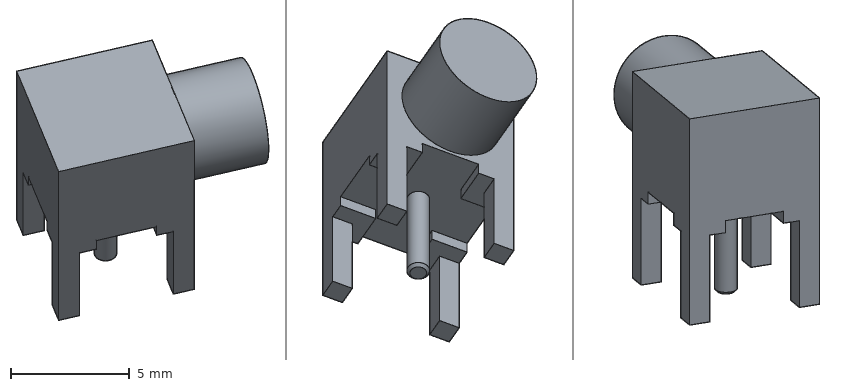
import cadquery as cq

body_side = 5.99
total_height = 9.35
leg_side = 0.93
leg_height = 3.93

pad_side = 1.66
pad_height = 0.54
body_bottom = leg_height + pad_height

overall_length = 9.5
barrel_diameter = 4.6
barrel_axis_drop = 2.41
barrel_length = overall_length - body_side

pin_diameter = 0.97
pin_chamfer = 0.13


def make_housing():
    return (
        cq.Workplane("XY")
        .workplane(offset=body_bottom)
        .rect(body_side, body_side)
        .extrude(total_height - body_bottom)
    )


def make_corner_posts(side, height):
    """Four square posts flush with the housing's corners, rising from Z = 0."""
    spacing = body_side - side
    return (
        cq.Workplane("XY")
        .rect(spacing, spacing, forConstruction=True)
        .vertices()
        .rect(side, side)
        .extrude(height)
    )


def make_pads():
    return make_corner_posts(pad_side, pad_height).translate((0, 0, leg_height))


def make_barrel():
    barrel_start = cq.Vector(0, body_side / 2, total_height - barrel_axis_drop)
    barrel = cq.Solid.makeCylinder(
        barrel_diameter / 2, barrel_length, barrel_start, cq.Vector(0, 1, 0)
    )
    return cq.Workplane(barrel)


def make_pin():
    return (
        cq.Workplane("XY")
        .circle(pin_diameter / 2)
        .extrude(body_bottom)
        .faces("<Z")
        .chamfer(pin_chamfer)
    )


result = (
    make_housing()
    .union(make_pads())
    .union(make_corner_posts(leg_side, body_bottom))
    .union(make_barrel())
    .union(make_pin())
)